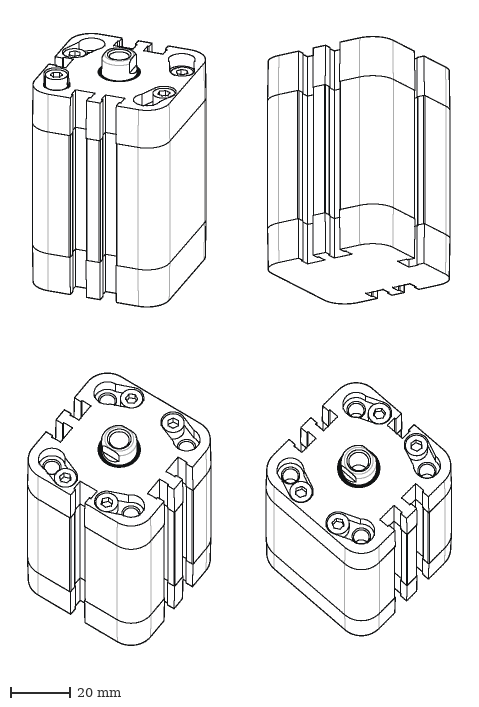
import cadquery as cq
import math

total_height = 80.5
body_side = 49.0
body_height = 74.0
cap_height = 14.1
barrel_height = body_height - 2 * cap_height
front_joint_z = cap_height + barrel_height

mount_offset = 16.3
corner_radius = body_side / 2 - mount_offset
cap_draft_angle = 0.9

slot_offset = 5.4
slot_mouth_width = 5.8
slot_inner_width = 7.0
slot_lip_depth = 3.0
slot_depth = 6.6
barrel_lip_chamfer = 0.3

screw_x = 19.4
screw_y = 8.5
pocket_depth = 4.7
mount_pocket_diameter = 9.0
screw_pocket_width = 8.2
screw_head_diameter = 7.5
screw_head_recess = 0.6
hex_corner_diameter = 4.1
hex_depth = 2.5
mount_hole_diameter = 5.2
mount_hole_mouth_diameter = 6.2
mount_hole_chamfer = (mount_hole_mouth_diameter - mount_hole_diameter) / 2

rod_diameter = 12.0
rod_end_fillet = 1.1
rod_flat_width = 10.0
rod_flat_bottom_z = total_height - 4.5
rod_hole_diameter = 6.7
rod_hole_mouth_diameter = 8.0
rod_hole_chamfer = (rod_hole_mouth_diameter - rod_hole_diameter) / 2
rod_hole_depth = 12.1
wiper_mouth_diameter = 14.25
wiper_groove_diameter = 14.0
wiper_seat_diameter = 13.7
wiper_ring_diameter = 13.1
wiper_lip_diameter = 12.55
wiper_groove_depth = 0.2
wiper_seat_depth = 0.25
wiper_ring_depth = 0.3
wiper_lip_depth = 0.4

hex_turns = {(-1, 1): -11.5, (1, 1): 0.0, (-1, -1): 21.0, (1, -1): 34.0}


def cylinder(diameter, bottom_z, top_z, x=0.0, y=0.0):
    return cq.Workplane("XY", origin=(x, y, bottom_z)).circle(diameter / 2).extrude(top_z - bottom_z)


def countersink(hole_diameter, chamfer, top_z, x=0.0, y=0.0):
    cone = cq.Solid.makeCone(
        hole_diameter / 2, hole_diameter / 2 + chamfer, chamfer, pnt=cq.Vector(x, y, top_z - chamfer)
    )
    return cq.Workplane(obj=cone)


def rounded_block(height, draft_angle=0.0):
    outline = cq.Sketch().rect(body_side, body_side).vertices().fillet(corner_radius)
    return cq.Workplane("XY").placeSketch(outline).extrude(height, taper=draft_angle)


def slot_cutter(height, lip_chamfer):
    """One T slot through the -Y side, centred on X = 0, with optional chamfers on both lip edges."""
    half_mouth = slot_mouth_width / 2
    half_inner = slot_inner_width / 2
    side_y = -body_side / 2
    lip_y = side_y + slot_lip_depth
    floor_y = side_y + slot_depth
    right_half = [(half_mouth, side_y), (half_mouth, lip_y)]
    if lip_chamfer > 0:
        right_half = [
            (half_mouth + lip_chamfer, side_y),
            (half_mouth, side_y + lip_chamfer),
            (half_mouth, lip_y - lip_chamfer),
            (half_mouth + lip_chamfer, lip_y),
        ]
    right_half += [(half_inner, lip_y), (half_inner, floor_y)]
    left_half = [(-x, y) for x, y in reversed(right_half)]
    return cq.Workplane("XY").polyline(right_half + left_half).close().extrude(height)


def cut_slots(block, height, lip_chamfer=0.0):
    cutter = slot_cutter(height, lip_chamfer)
    for turn in (0, 180):
        for x in (-slot_offset, slot_offset):
            block = block.cut(cutter.translate((x, 0, 0)).rotate((0, 0, 0), (0, 0, 1), turn))
    return block.cut(cutter.rotate((0, 0, 0), (0, 0, 1), -90))


def cap_blank():
    """Slotted cap that tapers from its joint face at Z = 0 to its outer face."""
    return cut_slots(rounded_block(cap_height, cap_draft_angle), cap_height)


def screw_pocket(x_sign, y_sign):
    """Pocket that joins a mounting hole to a screw head, with the screw head left standing in it."""
    floor_z = body_height - pocket_depth
    mount_x = x_sign * mount_offset
    mount_y = y_sign * mount_offset
    head_x = x_sign * screw_x
    head_y = y_sign * screw_y
    link_x = head_x - mount_x
    link_y = head_y - mount_y
    link = (
        cq.Workplane("XY", origin=((mount_x + head_x) / 2, (mount_y + head_y) / 2, floor_z))
        .transformed(rotate=(0, 0, math.degrees(math.atan2(link_y, link_x))))
        .slot2D(math.hypot(link_x, link_y) + screw_pocket_width, screw_pocket_width)
        .extrude(pocket_depth)
    )
    pocket = link.union(cylinder(mount_pocket_diameter, floor_z, body_height, mount_x, mount_y))

    head_top_z = body_height - screw_head_recess
    socket = (
        cq.Workplane("XY", origin=(head_x, head_y, head_top_z))
        .transformed(rotate=(0, 0, hex_turns[x_sign, y_sign]))
        .polygon(6, hex_corner_diameter)
        .extrude(-hex_depth)
    )
    head = cylinder(screw_head_diameter, floor_z, head_top_z, head_x, head_y).cut(socket)
    return pocket.cut(head)


def mount_hole(x_sign, y_sign):
    """Countersunk hole from the pocket floor to the joint face."""
    x = x_sign * mount_offset
    y = y_sign * mount_offset
    floor_z = body_height - pocket_depth
    hole = cylinder(mount_hole_diameter, front_joint_z, floor_z, x, y)
    return hole.union(countersink(mount_hole_diameter, mount_hole_chamfer, floor_z, x, y))


def wiper_recess():
    """Stepped recess around the rod at the outer face of the front cap."""
    steps = (
        (wiper_groove_diameter, wiper_groove_depth),
        (wiper_seat_diameter, wiper_seat_depth),
        (wiper_ring_diameter, wiper_ring_depth),
        (wiper_lip_diameter, wiper_lip_depth),
    )
    recess = cylinder(rod_diameter, front_joint_z, body_height)
    for diameter, depth in steps:
        recess = recess.union(cylinder(diameter, body_height - depth, body_height))
    mouth_chamfer = (wiper_mouth_diameter - wiper_groove_diameter) / 2
    return recess.union(countersink(wiper_groove_diameter, mouth_chamfer, body_height))


def make_rear_cap():
    return cap_blank().rotate((0, 0, 0), (0, 1, 0), 180).mirror("YZ").translate((0, 0, cap_height))


def make_barrel():
    barrel = cut_slots(rounded_block(barrel_height), barrel_height, barrel_lip_chamfer)
    return barrel.translate((0, 0, cap_height))


def make_front_cap():
    cap = cap_blank().translate((0, 0, front_joint_z)).cut(wiper_recess())
    for x_sign, y_sign in hex_turns:
        cap = cap.cut(screw_pocket(x_sign, y_sign)).cut(mount_hole(x_sign, y_sign))
    return cap


def rod_flat_cutter():
    """Removes the +X side of the rod end above a 45 degree ramp."""
    flat_x = rod_flat_width / 2
    ramp = rod_diameter / 2
    profile = [
        (flat_x, total_height),
        (flat_x, rod_flat_bottom_z),
        (flat_x + ramp, rod_flat_bottom_z - ramp),
        (flat_x + ramp, total_height),
    ]
    return cq.Workplane("XZ").polyline(profile).close().extrude(rod_diameter / 2, both=True)


def make_rod():
    rod = cylinder(rod_diameter, front_joint_z, total_height).faces(">Z").edges().fillet(rod_end_fillet)
    flat = rod_flat_cutter()
    rod = rod.cut(flat).cut(flat.mirror("YZ"))
    rod = rod.cut(cylinder(rod_hole_diameter, total_height - rod_hole_depth, total_height))
    return rod.cut(countersink(rod_hole_diameter, rod_hole_chamfer, total_height))


rear_cap = make_rear_cap()
barrel = make_barrel()
front_cap = make_front_cap()
rod = make_rod()

result = cq.Compound.makeCompound([rear_cap.val(), barrel.val(), front_cap.val(), rod.val()])